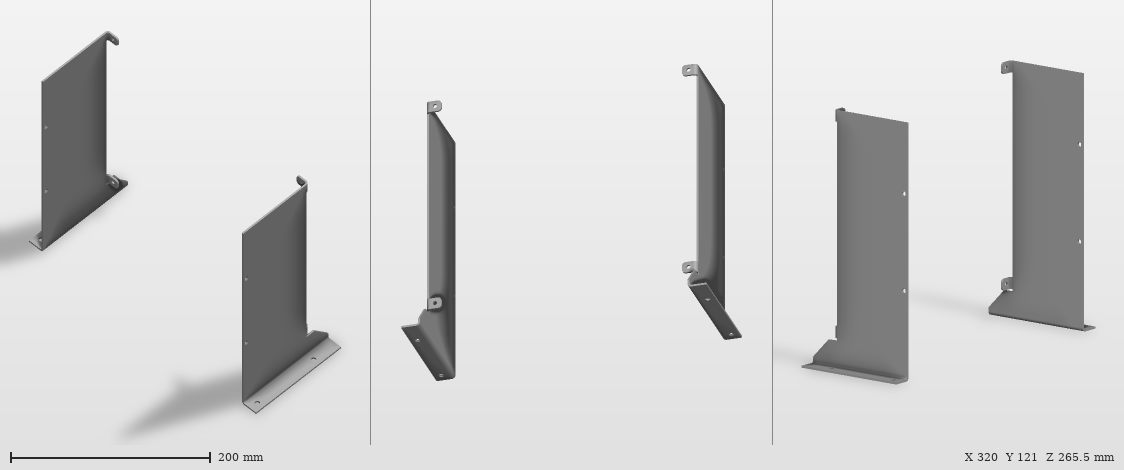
import cadquery as cq

span = 320.0
depth = 121.0
height = 265.5
plate_gap = 280.0

sheet = 2.08
bend_inner = 2.0
bend_outer = bend_inner + sheet

foot_hole_diameter = 5.5
foot_hole_inset = 8.0
foot_hole_front = 10.0
foot_hole_spacing = 80.0

plate_depth = 90.0
wing_height = 28.5
wing_flat_end = 101.0
wing_end_height = 8.0
plate_hole_diameter = 4.8
plate_hole_front = 4.5
lower_plate_hole_height = 92.0
plate_hole_spacing = 100.0
plate_hole_heights = (lower_plate_hole_height, lower_plate_hole_height + plate_hole_spacing)

tab_height = 12.0
tab_reach = 16.0
tab_back = plate_depth + bend_outer
tab_corner = 4.0
tab_hole_diameter = 4.0
tab_hole_reach = 9.3
lower_tab_base = 31.5
tab_bases = (lower_tab_base, height - tab_height)

foot_edge = -span / 2
plate_inner = -plate_gap / 2
plate_outer = plate_inner - sheet


def make_angle():
    """Foot and upright plate as one bent L section running the full depth."""
    return (
        cq.Workplane("XZ")
        .moveTo(foot_edge, 0)
        .lineTo(plate_inner - bend_outer, 0)
        .radiusArc((plate_inner, bend_outer), -bend_outer)
        .lineTo(plate_inner, height)
        .lineTo(plate_outer, height)
        .lineTo(plate_outer, bend_outer)
        .radiusArc((plate_outer - bend_inner, sheet), bend_inner)
        .lineTo(foot_edge, sheet)
        .close()
        .extrude(-depth)
    )


def make_side_outline():
    """Side silhouette that trims the angle to the plate and its sloped wing."""
    return (
        cq.Workplane("YZ", origin=(foot_edge, 0, 0))
        .polyline([
            (0, 0),
            (depth, 0),
            (depth, wing_end_height),
            (wing_flat_end, wing_height),
            (plate_depth, wing_height),
            (plate_depth, height),
            (0, height),
        ])
        .close()
        .extrude(plate_inner - foot_edge)
    )


def make_tab(base):
    """Tab curving from the plate's rear edge to face the other bracket."""
    tip = plate_outer + tab_reach
    bend_end = plate_outer + bend_outer
    strip = (
        cq.Workplane("XY", origin=(0, 0, base))
        .moveTo(plate_outer, plate_depth)
        .radiusArc((bend_end, tab_back), bend_outer)
        .lineTo(tip, tab_back)
        .lineTo(tip, tab_back - sheet)
        .lineTo(bend_end, tab_back - sheet)
        .radiusArc((plate_inner, plate_depth), -bend_inner)
        .close()
        .extrude(tab_height)
        .edges("|Y and >X")
        .fillet(tab_corner)
    )
    hole = (
        cq.Workplane("XZ", origin=(plate_outer + tab_hole_reach, tab_back, base + tab_height / 2))
        .circle(tab_hole_diameter / 2)
        .extrude(sheet)
    )
    return strip.cut(hole)


def make_foot_holes():
    """Two cutters through the foot."""
    hole_x = foot_edge + foot_hole_inset
    hole_depths = (foot_hole_front, foot_hole_front + foot_hole_spacing)
    return (
        cq.Workplane("XY")
        .pushPoints([(hole_x, y) for y in hole_depths])
        .circle(foot_hole_diameter / 2)
        .extrude(sheet)
    )


def make_plate_holes():
    """Two cutters through the plate near its front edge."""
    return (
        cq.Workplane("YZ", origin=(plate_outer, 0, 0))
        .pushPoints([(plate_hole_front, z) for z in plate_hole_heights])
        .circle(plate_hole_diameter / 2)
        .extrude(sheet)
    )


def make_bracket():
    """Complete left bracket as a single solid."""
    bracket = make_angle().intersect(make_side_outline())
    for base in tab_bases:
        bracket = bracket.union(make_tab(base))
    return bracket.cut(make_foot_holes()).cut(make_plate_holes())


left_bracket = make_bracket()
right_bracket = left_bracket.mirror("YZ")

result = cq.Compound.makeCompound([left_bracket.val(), right_bracket.val()])